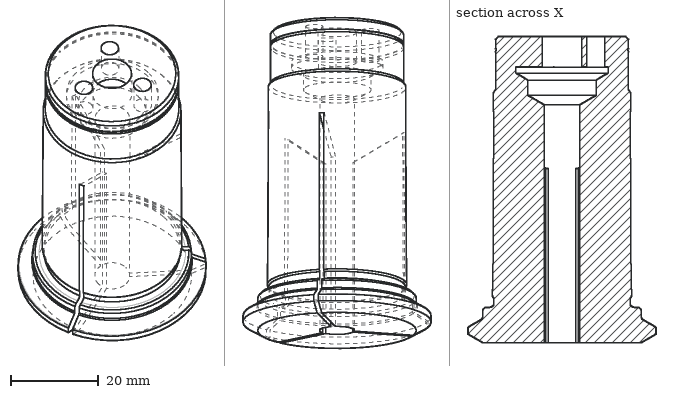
import cadquery as cq
import math

total_height = 70.0
cone_angle = 30.0
cone_slope = math.tan(math.radians(cone_angle))

rim_radius = 21.5
rim_bottom_z = 1.95
rim_top_z = 3.7
rim_edge_chamfer = 0.2
shoulder_radius = 18.1
shoulder_root_blend = 0.4
shoulder_top_z = 8.1
shoulder_chamfer = 0.55

neck_radius = 15.6
neck_top_z = 10.2
neck_fillet_radius = 1.4
neck_fillet_height = 0.55
neck_fillet_width = math.sqrt(
    neck_fillet_radius**2 - (neck_fillet_radius - neck_fillet_height) ** 2
)

body_foot_radius = 15.95
body_head_radius = 15.75
body_foot_z = 10.7
body_head_z = 57.1

head_radius = 30.5 / 2
head_bottom_z = 57.8
groove_bottom_z = 66.5
groove_top_z = 67.1
groove_depth = 0.2
head_chamfer = 0.7

bore_radius = 8.0 / 2
opening_diameter = 8.9
plate_thickness = 7.0
chamber_radius = 21.0 / 2
chamber_wall_height = 1.4
lower_chamber_radius = 15.5 / 2
lower_chamber_wall_height = 3.5

plate_hole_diameter = 4.0
plate_hole_circle_radius = 15.5 / 2
plate_hole_angles = (30, 150, 270)

slot_width = 1.05
slot_top_z = 47.6
slot_end_angle = 33.0
slot_angles = (60, 180, 300)
cut_margin = 0.7


def make_body():
    """Revolve the outer profile of the sleeve about Z."""
    cone_top_radius = shoulder_radius + shoulder_root_blend / 2
    cone_bottom_radius = rim_radius - rim_edge_chamfer
    cone_top_z = rim_top_z + (cone_bottom_radius - cone_top_radius) * cone_slope
    foot_radius = rim_radius - rim_bottom_z / cone_slope
    profile = (
        cq.Workplane("XZ")
        .moveTo(0, 0)
        .lineTo(foot_radius, 0)
        .lineTo(rim_radius, rim_bottom_z)
        .lineTo(rim_radius, rim_top_z - rim_edge_chamfer)
        .lineTo(cone_bottom_radius, rim_top_z)
        .lineTo(cone_top_radius, cone_top_z)
        .lineTo(shoulder_radius, cone_top_z + shoulder_root_blend)
        .lineTo(shoulder_radius, shoulder_top_z - shoulder_chamfer)
        .lineTo(shoulder_radius - shoulder_chamfer, shoulder_top_z)
        .lineTo(neck_radius + neck_fillet_width, shoulder_top_z)
        .radiusArc((neck_radius, shoulder_top_z + neck_fillet_height), neck_fillet_radius)
        .lineTo(neck_radius, neck_top_z)
        .lineTo(body_foot_radius, body_foot_z)
        .lineTo(body_head_radius, body_head_z)
        .lineTo(head_radius, head_bottom_z)
        .lineTo(head_radius, groove_bottom_z)
        .lineTo(head_radius - groove_depth, groove_top_z)
        .lineTo(head_radius, groove_top_z)
        .lineTo(head_radius, total_height - head_chamfer)
        .lineTo(head_radius - head_chamfer, total_height)
        .lineTo(0, total_height)
        .close()
    )
    return profile.revolve(360, (0, 0, 0), (0, 1, 0))


def make_cavity():
    """Through bore that opens into a stepped, cone-floored chamber under the end plate."""
    chamber_top_z = total_height - plate_thickness
    floor_top_z = chamber_top_z - chamber_wall_height
    floor_bottom_z = floor_top_z - (chamber_radius - lower_chamber_radius) * cone_slope
    lower_floor_top_z = floor_bottom_z - lower_chamber_wall_height
    lower_floor_bottom_z = lower_floor_top_z - (lower_chamber_radius - bore_radius) * cone_slope
    profile = (
        cq.Workplane("XZ")
        .moveTo(0, 0)
        .lineTo(bore_radius, 0)
        .lineTo(bore_radius, lower_floor_bottom_z)
        .lineTo(lower_chamber_radius, lower_floor_top_z)
        .lineTo(lower_chamber_radius, floor_bottom_z)
        .lineTo(chamber_radius, floor_top_z)
        .lineTo(chamber_radius, chamber_top_z)
        .lineTo(0, chamber_top_z)
        .close()
    )
    return profile.revolve(360, (0, 0, 0), (0, 1, 0))


def drill_end_plate(part):
    """Cut the central opening and the ring of holes through the end plate."""
    plate_top = cq.Workplane("XY").workplane(offset=total_height)
    opening = plate_top.circle(opening_diameter / 2).extrude(-plate_thickness)
    part = part.cut(opening)
    for angle in plate_hole_angles:
        x = plate_hole_circle_radius * math.cos(math.radians(angle))
        y = plate_hole_circle_radius * math.sin(math.radians(angle))
        hole = plate_top.center(x, y).circle(plate_hole_diameter / 2).extrude(-plate_thickness)
        part = part.cut(hole)
    return part


def make_slot():
    """Radial slot along +X, from the axis outward, whose end slopes down to the bore."""
    outer_radius = rim_radius + cut_margin
    axis_end_z = slot_top_z - body_foot_radius * math.tan(math.radians(slot_end_angle))
    return (
        cq.Workplane("XZ")
        .polyline(
            [
                (0, -cut_margin),
                (outer_radius, -cut_margin),
                (outer_radius, slot_top_z),
                (body_foot_radius, slot_top_z),
                (0, axis_end_z),
            ]
        )
        .close()
        .extrude(slot_width / 2, both=True)
    )


result = drill_end_plate(make_body().cut(make_cavity()))
slot = make_slot()
for slot_angle in slot_angles:
    result = result.cut(slot.rotate((0, 0, 0), (0, 0, 1), slot_angle))